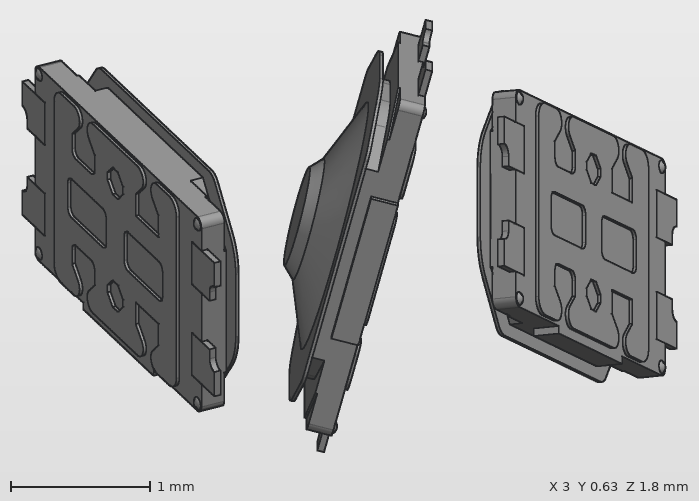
import cadquery as cq
import math


BASE_HALF_X = 1.3
BASE_HALF_Z = 0.8
BASE_TOP_Y = 0.2
BASE_CORNER_RADIUS = 0.065
CORNER_STEP_SIZE = 0.3
CORNER_STEP_DEPTH = 0.015
TAB_HALF_X = 0.55
TAB_LENGTH = 0.055

END_CORNER_RADIUS = 0.48
BEVEL_RUN_PER_RISE = 0.75
FRAME_HALF_X = 1.077
FRAME_END_HALF_Z = 0.355
FRAME_TOP_Y = 0.3
FILM_HALF_X = 1.255
FILM_HALF_Z = 0.9
FILM_END_HALF_Z = 0.418
FILM_SIDE_CORNER_RADIUS = 0.12
FILM_THICKNESS = 0.025

DOME_BASE_HALF_X = 0.94
DOME_BASE_HALF_Z = 0.72
KNEE_RADIUS = 0.45
KNEE_Y = 0.52
ACTUATOR_TOP_RADIUS = 0.365
ACTUATOR_TOP_Y = 0.605

FOOT_HEIGHT = 0.025
BUMP_RADIUS = 0.048
BUMP_INSET = 0.0625

TERMINAL_OUTER_X = 1.5
TERMINAL_INNER_X = 1.15
TERMINAL_LOW_Z = 0.2
TERMINAL_HIGH_Z = 0.55
TERMINAL_THICKNESS = 0.05
TERMINAL_NOTCH_WIDTH = 0.075
TERMINAL_NOTCH_TOP_Z = TERMINAL_LOW_Z + 2 * TERMINAL_NOTCH_WIDTH

PLATE_HALF_X = 0.955
PLATE_HALF_Z = 0.78
PLATE_CORNER_RADIUS = 0.115
WINDOW_CENTER_X = 0.44
WINDOW_LENGTH = 0.6
WINDOW_WIDTH = 0.32
WINDOW_CORNER_RADIUS = 0.06
OCTAGON_LENGTH = 0.243
OCTAGON_WIDTH = 0.22
OCTAGON_CHAMFER = 0.08
OCTAGON_CENTER_Z = 0.465
SLOT_CENTER_X = 0.497
SLOT_HALF_WIDTH = 0.177
SLOT_FLOOR_Z = 0.357
SLOT_FLOOR_RADIUS = 0.06
NECK_HALF_WIDTH = 0.06
NECK_RADIUS = 0.09

SIGNS = (-1, 1)


def plane_at(y):
    """Workplane across the switch at height y, with local axes along X and Z."""
    return cq.Workplane("XZ", origin=(0, y, 0))


def beveled_slab(half_x, half_z, end_half_z, bottom_y, top_y):
    """Eight-sided slab whose long bevels run into rounded ends."""
    side_half_x = half_x - BEVEL_RUN_PER_RISE * (half_z - end_half_z)
    outline = [
        (half_x, -end_half_z),
        (half_x, end_half_z),
        (side_half_x, half_z),
        (-side_half_x, half_z),
        (-half_x, end_half_z),
        (-half_x, -end_half_z),
        (-side_half_x, -half_z),
        (side_half_x, -half_z),
    ]
    slab = plane_at(bottom_y).polyline(outline).close().extrude(bottom_y - top_y)
    return slab.edges("|Y and (>X or <X)").fillet(END_CORNER_RADIUS)


def corner_step(side_x, side_z):
    """Triangular cut that lowers one top corner of the base."""
    corner = (side_x * BASE_HALF_X, side_z * BASE_HALF_Z)
    along_x = (side_x * (BASE_HALF_X - CORNER_STEP_SIZE), corner[1])
    along_z = (corner[0], side_z * (BASE_HALF_Z - CORNER_STEP_SIZE))
    return plane_at(BASE_TOP_Y).polyline([corner, along_x, along_z]).close().extrude(CORNER_STEP_DEPTH)


def locating_bump(side_x, side_z):
    """Shallow spherical cap hanging below the mounting face."""
    center_x = side_x * (BASE_HALF_X - BUMP_INSET)
    center_z = side_z * (BASE_HALF_Z - BUMP_INSET)
    sphere_radius = (BUMP_RADIUS**2 + FOOT_HEIGHT**2) / (2 * FOOT_HEIGHT)
    half_angle = math.asin(BUMP_RADIUS / sphere_radius) / 2
    mid_radius = sphere_radius * math.sin(half_angle)
    mid_y = -FOOT_HEIGHT + sphere_radius * (1 - math.cos(half_angle))
    return (
        cq.Workplane("XY", origin=(center_x, 0, center_z))
        .moveTo(0, 0)
        .lineTo(0, -FOOT_HEIGHT)
        .threePointArc((mid_radius, mid_y), (BUMP_RADIUS, 0))
        .close()
        .revolve(360, (0, 0, 0), (0, 1, 0))
    )


def make_terminal(side_x, side_z):
    """Flat terminal, flush with the mounting face, with a round-cornered notch at its tip."""
    notch_x = TERMINAL_OUTER_X - TERMINAL_NOTCH_WIDTH
    notch_center_z = TERMINAL_NOTCH_TOP_Z - TERMINAL_NOTCH_WIDTH
    arc_offset = TERMINAL_NOTCH_WIDTH * math.sqrt(0.5)
    arc_middle = (TERMINAL_OUTER_X - arc_offset, notch_center_z + arc_offset)

    def placed(point):
        return (side_x * point[0], side_z * point[1])

    return (
        plane_at(0)
        .moveTo(*placed((TERMINAL_INNER_X, TERMINAL_LOW_Z)))
        .lineTo(*placed((notch_x, TERMINAL_LOW_Z)))
        .lineTo(*placed((notch_x, notch_center_z)))
        .threePointArc(placed(arc_middle), placed((TERMINAL_OUTER_X, TERMINAL_NOTCH_TOP_Z)))
        .lineTo(*placed((TERMINAL_OUTER_X, TERMINAL_HIGH_Z)))
        .lineTo(*placed((TERMINAL_INNER_X, TERMINAL_HIGH_Z)))
        .close()
        .extrude(-TERMINAL_THICKNESS)
    )


def make_housing(terminals):
    """Base with side tab, raised frame, bumps and a pocket for each terminal."""
    housing = plane_at(0).rect(2 * BASE_HALF_X, 2 * BASE_HALF_Z).extrude(-BASE_TOP_Y)
    housing = housing.edges("|Y").fillet(BASE_CORNER_RADIUS)
    tab = (
        plane_at(0)
        .rect(2 * TAB_HALF_X, BASE_HALF_Z + TAB_LENGTH)
        .extrude(-BASE_TOP_Y)
        .translate((0, 0, -(BASE_HALF_Z + TAB_LENGTH) / 2))
    )
    frame = beveled_slab(FRAME_HALF_X, BASE_HALF_Z, FRAME_END_HALF_Z, 0, FRAME_TOP_Y)
    for side_x in SIGNS:
        for side_z in SIGNS:
            housing = housing.cut(corner_step(side_x, side_z))
            housing = housing.union(locating_bump(side_x, side_z))
    housing = housing.union(tab).union(frame).clean()
    for terminal in terminals:
        housing = housing.cut(terminal)
    return housing


def make_film():
    """Thin cover film lying on the frame and overhanging it all round."""
    film = beveled_slab(FILM_HALF_X, FILM_HALF_Z, FILM_END_HALF_Z, FRAME_TOP_Y, FRAME_TOP_Y + FILM_THICKNESS)
    return film.edges("|Y and (>Z or <Z)").fillet(FILM_SIDE_CORNER_RADIUS)


def make_dome():
    """Dome that narrows from an elliptical foot to a round knee."""
    foot_y = FRAME_TOP_Y + FILM_THICKNESS
    return (
        plane_at(foot_y)
        .ellipse(DOME_BASE_HALF_X, DOME_BASE_HALF_Z)
        .workplane(offset=foot_y - KNEE_Y)
        .circle(KNEE_RADIUS)
        .loft(ruled=True)
    )


def make_actuator():
    """Flat-topped cone on the dome."""
    return (
        plane_at(KNEE_Y)
        .circle(KNEE_RADIUS)
        .workplane(offset=KNEE_Y - ACTUATOR_TOP_Y)
        .circle(ACTUATOR_TOP_RADIUS)
        .loft(ruled=True)
    )


def keyhole_slot(side_x, side_z):
    """Slot cutter: a pocket that tapers at 45 degrees to a neck, which flares out to the plate edge."""
    arc_x = NECK_HALF_WIDTH + NECK_RADIUS
    arc_z = PLATE_HALF_Z - NECK_RADIUS
    diagonal = NECK_RADIUS * math.sqrt(0.5)
    taper_end = (arc_x - diagonal, arc_z - diagonal)
    shoulder_z = sum(taper_end) - SLOT_HALF_WIDTH
    slot = (
        plane_at(0)
        .moveTo(-SLOT_HALF_WIDTH, SLOT_FLOOR_Z)
        .lineTo(SLOT_HALF_WIDTH, SLOT_FLOOR_Z)
        .lineTo(SLOT_HALF_WIDTH, shoulder_z)
        .lineTo(*taper_end)
        .threePointArc((NECK_HALF_WIDTH, arc_z), (arc_x, PLATE_HALF_Z))
        .lineTo(-arc_x, PLATE_HALF_Z)
        .threePointArc((-NECK_HALF_WIDTH, arc_z), (-taper_end[0], taper_end[1]))
        .lineTo(-SLOT_HALF_WIDTH, shoulder_z)
        .close()
        .extrude(FOOT_HEIGHT)
    )
    if side_x < 0:
        slot = slot.edges("|Y and <Z").fillet(SLOT_FLOOR_RADIUS)
    if side_z < 0:
        slot = slot.mirror("XY")
    return slot.translate((side_x * SLOT_CENTER_X, 0, 0))


def make_bottom_plate():
    """Plate on the mounting face with two windows, two octagonal holes and four keyhole slots."""
    plate = plane_at(0).rect(2 * PLATE_HALF_X, 2 * PLATE_HALF_Z).extrude(FOOT_HEIGHT)
    plate = plate.edges("|Y").fillet(PLATE_CORNER_RADIUS)
    windows = (
        plane_at(0)
        .pushPoints([(side * WINDOW_CENTER_X, 0) for side in SIGNS])
        .rect(WINDOW_LENGTH, WINDOW_WIDTH)
        .extrude(FOOT_HEIGHT)
        .edges("|Y")
        .fillet(WINDOW_CORNER_RADIUS)
    )
    octagons = (
        plane_at(0)
        .pushPoints([(0, side * OCTAGON_CENTER_Z) for side in SIGNS])
        .rect(OCTAGON_LENGTH, OCTAGON_WIDTH)
        .extrude(FOOT_HEIGHT)
        .edges("|Y")
        .chamfer(OCTAGON_CHAMFER)
    )
    plate = plate.cut(windows).cut(octagons)
    for side_x in SIGNS:
        for side_z in SIGNS:
            plate = plate.cut(keyhole_slot(side_x, side_z))
    return plate


terminals = [make_terminal(side_x, side_z) for side_x in SIGNS for side_z in SIGNS]
housing = make_housing(terminals)
film = make_film()
dome = make_dome()
actuator = make_actuator()
bottom_plate = make_bottom_plate()

result = cq.Compound.makeCompound(
    [
        housing.val(),
        *[terminal.val() for terminal in terminals],
        film.val(),
        dome.val(),
        actuator.val(),
        bottom_plate.val(),
    ]
)